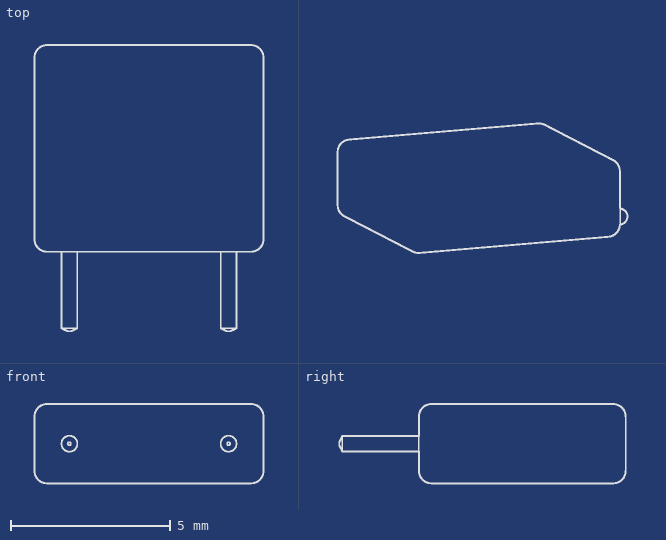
import cadquery as cq

body_width = 7.2
body_depth = 6.5
body_height = 2.5
edge_radius = 0.4

lead_pitch = 5.0
lead_diameter = 0.5
lead_length = 2.5
tip_length = 0.1
tip_flat_diameter = 0.1

lead_radius = lead_diameter / 2
tip_flat_radius = tip_flat_diameter / 2
body_front = -body_depth / 2
lead_root = body_front + edge_radius
lead_end = body_front - lead_length
tip_start = lead_end + tip_length


def make_body():
    """Box centred on the origin with every edge rounded."""
    box = cq.Workplane("XY").box(body_width, body_depth, body_height)
    return box.edges().fillet(edge_radius)


def make_lead(x):
    """Round lead along -Y at the given x, revolved from its half profile."""
    half_profile = (
        cq.Workplane("XY")
        .moveTo(0, lead_root)
        .lineTo(lead_radius, lead_root)
        .lineTo(lead_radius, tip_start)
        .lineTo(tip_flat_radius, lead_end)
        .lineTo(0, lead_end)
        .close()
    )
    lead = half_profile.revolve(360, (0, 0, 0), (0, 1, 0))
    return lead.translate((x, 0, 0))


result = make_body()
for side in (-1, 1):
    result = result.union(make_lead(side * lead_pitch / 2))